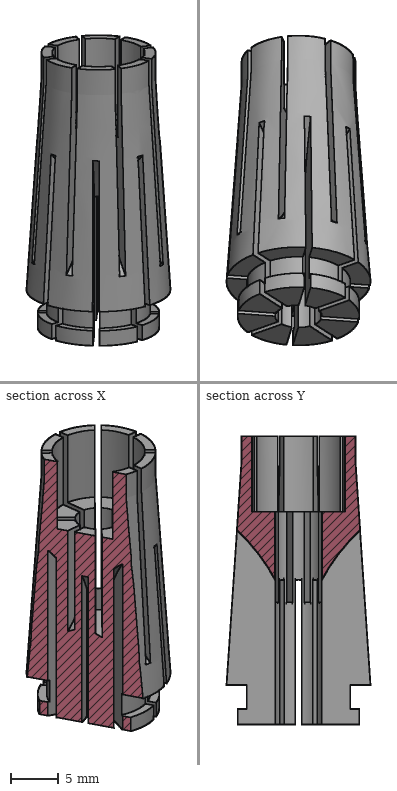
import cadquery as cq
import math


total_height = 30.5
flange_height = 1.68
cone_bottom = 4.18
nose_height = 2.8
pocket_depth = 8.0

flange_diameter = 12.87
neck_diameter = 10.98
cone_diameter = 15.25
nose_diameter = 12.08
pocket_diameter = 9.82
bore_diameter = 4.95

slots_per_end = 8
slot_width = 0.67
tail_saw_radius = 20.0
nose_saw_radius = 15.0
tail_saw_offset = 20.13
nose_saw_offset = 15.37
tail_saw_stop = 5.9
nose_saw_stop = 20.6


def turned_body():
    """Revolve the stepped and tapered half section, bore and nose pocket included."""
    bore_radius = bore_diameter / 2
    pocket_radius = pocket_diameter / 2
    pocket_floor = total_height - pocket_depth
    cone_top = total_height - nose_height
    half_section = [
        (bore_radius, 0),
        (flange_diameter / 2, 0),
        (flange_diameter / 2, flange_height),
        (neck_diameter / 2, flange_height),
        (neck_diameter / 2, cone_bottom),
        (cone_diameter / 2, cone_bottom),
        (nose_diameter / 2, cone_top),
        (nose_diameter / 2, total_height),
        (pocket_radius, total_height),
        (pocket_radius, pocket_floor),
        (bore_radius, pocket_floor),
    ]
    return cq.Workplane("XZ").polyline(half_section).close().revolve(360, (0, 0), (0, 1))


def saw_cut(saw_radius, saw_offset, open_end, stop, feed):
    """Path of a saw fed along Z from open_end until its centre is at height stop.

    The saw centre stays saw_offset away from the axis; feed is 1 upwards and -1 downwards.
    """
    inner_reach = saw_offset - saw_radius
    diagonal = saw_radius * math.sqrt(0.5)
    return (
        cq.Workplane("XZ")
        .moveTo(inner_reach, open_end)
        .lineTo(inner_reach, stop)
        .threePointArc(
            (saw_offset - diagonal, stop + feed * diagonal),
            (saw_offset, stop + feed * saw_radius),
        )
        .lineTo(saw_offset, open_end)
        .close()
        .extrude(slot_width / 2, both=True)
    )


tail_cut = saw_cut(tail_saw_radius, tail_saw_offset, 0, tail_saw_stop, 1)
nose_cut = saw_cut(nose_saw_radius, nose_saw_offset, total_height, nose_saw_stop, -1)

slot_pitch = 360 / slots_per_end
result = turned_body()
for index in range(slots_per_end):
    tail_angle = index * slot_pitch
    nose_angle = tail_angle + slot_pitch / 2
    result = result.cut(tail_cut.rotate((0, 0, 0), (0, 0, 1), tail_angle))
    result = result.cut(nose_cut.rotate((0, 0, 0), (0, 0, 1), nose_angle))